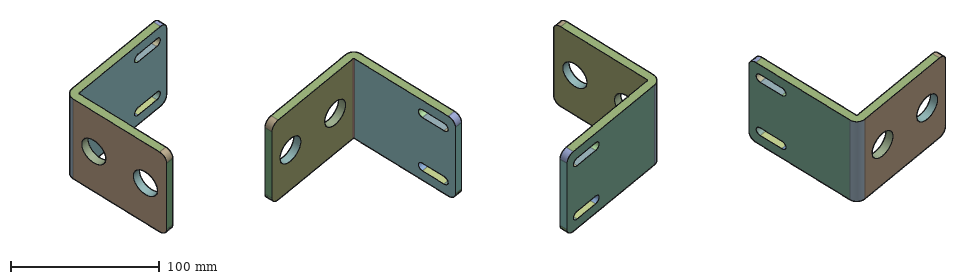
import cadquery as cq

length_x = 90.4
length_y = 97.0
height = 76.2
thickness = 6.4

inner_bend_radius = 0.8
outer_bend_radius = inner_bend_radius + thickness
corner_radius = 6.4

hole_diameter = 21.3
first_hole_x = 25.4
hole_spacing = 46.0

slot_length = 26.4
slot_width = 7.3
slot_end_margin = 6.6
slot_spacing = 50.8
slot_center_y = length_y - slot_end_margin - slot_length / 2

mid_height = height / 2
cut_depth = 2 * thickness


def bent_plate():
    """L-shaped sheet with its outer bend corner at the origin."""
    sheet = (
        cq.Workplane("XY")
        .moveTo(0, 0)
        .lineTo(length_x, 0)
        .lineTo(length_x, thickness)
        .lineTo(thickness, thickness)
        .lineTo(thickness, length_y)
        .lineTo(0, length_y)
        .close()
        .extrude(height)
    )
    sheet = sheet.edges(cq.selectors.NearestToPointSelector((0, 0, mid_height))).fillet(outer_bend_radius)
    inner_corner = cq.selectors.NearestToPointSelector((thickness, thickness, mid_height))
    sheet = sheet.edges(inner_corner).fillet(inner_bend_radius)
    sheet = sheet.faces(">X").edges("|Y").fillet(corner_radius)
    return sheet.faces(">Y").edges("|X").fillet(corner_radius)


def round_holes():
    """Cutters passing through the plate along X."""
    centers = [(first_hole_x + i * hole_spacing, mid_height) for i in range(2)]
    return (
        cq.Workplane("XZ")
        .pushPoints(centers)
        .circle(hole_diameter / 2)
        .extrude(cut_depth, both=True)
    )


def slots():
    """Cutters passing through the plate along Y."""
    centers = [(slot_center_y, mid_height + side * slot_spacing / 2) for side in (-1, 1)]
    return (
        cq.Workplane("YZ")
        .pushPoints(centers)
        .slot2D(slot_length, slot_width)
        .extrude(cut_depth, both=True)
    )


result = bent_plate().cut(round_holes()).cut(slots())